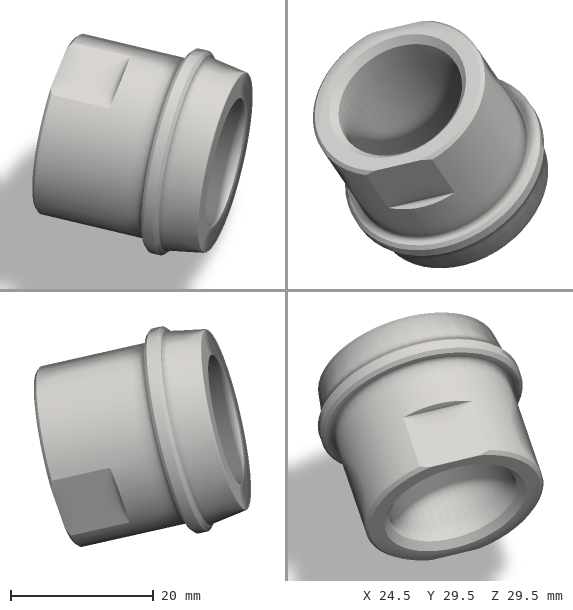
import cadquery as cq
import math

LENGTH = 24.5
COLLAR_START = 16.55
COLLAR_END = 19.0

BODY_DIAMETER = 26.0
COLLAR_DIAMETER = 29.5
BORE_DIAMETER = 18.63
CONE_END_DIAMETER = 26.0

CONE_ANGLE = math.radians(9.5)

OUTER_CHAMFER = 0.5
BORE_CHAMFER = 1.0
BODY_BLEND_RADIUS = 0.4
CONE_TIP_RADIUS = 0.2

FLAT_SPACING = 24.0
FLAT_LENGTH = 9.0
FLAT_RUNOUT_ANGLE = math.radians(15.0)

BODY_RADIUS = BODY_DIAMETER / 2
COLLAR_RADIUS = COLLAR_DIAMETER / 2
COLLAR_FACE_RADIUS = COLLAR_RADIUS - OUTER_CHAMFER
BORE_RADIUS = BORE_DIAMETER / 2
CONE_TIP = CONE_END_DIAMETER / 2
CONE_ROOT = CONE_TIP + (LENGTH - COLLAR_END) * math.tan(CONE_ANGLE)


def turned_body():
    """Hollow sleeve with collar and tapered end, revolved about X."""
    blend_run = COLLAR_FACE_RADIUS - CONE_ROOT
    blend_radius = blend_run * math.tan((math.pi / 2 + CONE_ANGLE) / 2)
    cone_start = (
        COLLAR_END + blend_run * math.cos(CONE_ANGLE),
        CONE_ROOT - blend_run * math.sin(CONE_ANGLE),
    )

    rim_run = CONE_TIP_RADIUS * math.tan((math.pi / 2 - CONE_ANGLE) / 2)
    cone_end = (
        LENGTH - rim_run * math.cos(CONE_ANGLE),
        CONE_TIP + rim_run * math.sin(CONE_ANGLE),
    )

    profile = (
        cq.Workplane("XY")
        .moveTo(0, BORE_RADIUS + BORE_CHAMFER)
        .lineTo(0, BODY_RADIUS - OUTER_CHAMFER)
        .lineTo(OUTER_CHAMFER, BODY_RADIUS)
        .lineTo(COLLAR_START - BODY_BLEND_RADIUS, BODY_RADIUS)
        .tangentArcPoint((COLLAR_START, BODY_RADIUS + BODY_BLEND_RADIUS), relative=False)
        .lineTo(COLLAR_START, COLLAR_FACE_RADIUS)
        .lineTo(COLLAR_START + OUTER_CHAMFER, COLLAR_RADIUS)
        .lineTo(COLLAR_END - OUTER_CHAMFER, COLLAR_RADIUS)
        .lineTo(COLLAR_END, COLLAR_FACE_RADIUS)
        .radiusArc(cone_start, -blend_radius)
        .lineTo(*cone_end)
        .tangentArcPoint((LENGTH, CONE_TIP - rim_run), relative=False)
        .lineTo(LENGTH, BORE_RADIUS)
        .lineTo(BORE_CHAMFER, BORE_RADIUS)
        .close()
    )
    return profile.revolve(360, (0, 0, 0), (1, 0, 0))


def flat_cutter():
    """Prism that cuts the upper flat, with a runout face leaning towards the collar."""
    flat_height = FLAT_SPACING / 2
    runout = (COLLAR_RADIUS - flat_height) * math.tan(FLAT_RUNOUT_ANGLE)
    return (
        cq.Workplane("XZ")
        .moveTo(0, flat_height)
        .lineTo(FLAT_LENGTH, flat_height)
        .lineTo(FLAT_LENGTH + runout, COLLAR_RADIUS)
        .lineTo(0, COLLAR_RADIUS)
        .close()
        .extrude(COLLAR_RADIUS, both=True)
    )


upper_cutter = flat_cutter()
lower_cutter = upper_cutter.mirror("XY")
result = turned_body().cut(upper_cutter).cut(lower_cutter)